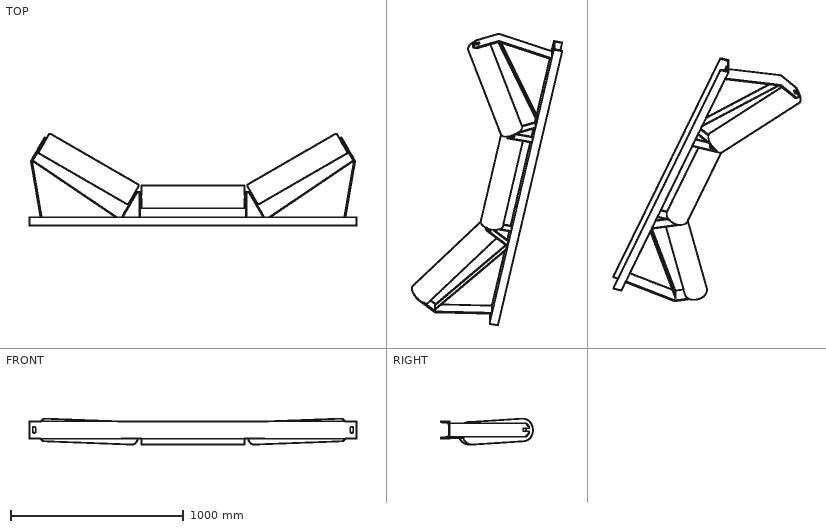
import cadquery as cq
import math


channel_length = 1900
channel_height = 100
flange_width = 50
web_thickness = 6
flange_thickness = 8.5
flange_taper = 0.08
root_radius = 8.5
toe_radius = 4.5
mount_slot_width = 18
mount_slot_length = 36
mount_slot_inset = 28

roller_diameter = 133
roller_length = 600
roller_edge_radius = 5
shaft_diameter = 20
shaft_flat_width = 17
trough_angle = 30
tilt_drop = 19.6
centre_axis_y = 117
wing_inner_x = 345.5
wing_inner_y = 129.03

outer_bracket_height = 80
inner_bracket_height = 60
brace_height = 50
inner_plate = 5
outer_plate = 8
end_gap = 6
bracket_reach = 30
tip_chamfer = 20
outer_bend_radius = 8
outer_foot_x = 886
outer_corner_y = 324
brace_thickness = 3
brace_foot_x = 449
brace_head_y = 328

forward_tilt = math.degrees(math.asin(tilt_drop / roller_length))
cos_trough = math.cos(math.radians(trough_angle))
sin_trough = math.sin(math.radians(trough_angle))
inner_shaft_end = end_gap + inner_plate
outer_shaft_end = end_gap + outer_plate

outward = cq.Vector(cos_trough, sin_trough)
upward = cq.Vector(-sin_trough, cos_trough)
wing_inner = cq.Vector(wing_inner_x, wing_inner_y)
wing_outer = wing_inner + outward * roller_length * math.cos(math.radians(forward_tilt))


def xy(point):
    return (point.x, point.y)


def edge_at(body, middle):
    """The edge whose middle lies nearest to the given point."""
    return body.edges(cq.selectors.NearestToPointSelector(middle))


def make_channel():
    half = channel_height / 2
    tip_thickness = flange_thickness - flange_taper * flange_width / 2
    root_thickness = flange_thickness + flange_taper * (flange_width / 2 - web_thickness)
    profile = [
        (0, -half),
        (-flange_width, -half),
        (-flange_width, -half + tip_thickness),
        (-web_thickness, -half + root_thickness),
        (-web_thickness, half - root_thickness),
        (-flange_width, half - tip_thickness),
        (-flange_width, half),
        (0, half),
    ]
    body = cq.Workplane("YZ").polyline(profile).close().extrude(channel_length / 2, both=True)
    for side in (-1, 1):
        root = (0, -web_thickness, side * (half - root_thickness))
        toe = (0, -flange_width, side * (half - tip_thickness))
        body = edge_at(body, root).fillet(root_radius)
        body = edge_at(body, toe).fillet(toe_radius)
    slot_x = channel_length / 2 - mount_slot_inset
    slots = (
        cq.Workplane("XZ")
        .pushPoints([(-slot_x, 0), (slot_x, 0)])
        .slot2D(mount_slot_length, mount_slot_width, 90)
        .extrude(web_thickness)
    )
    return body.cut(slots)


def shaft_section(start, length):
    flats = cq.Workplane("XY").box(length, shaft_diameter, shaft_flat_width, centered=(False, True, True))
    rod = cq.Workplane("YZ").circle(shaft_diameter / 2).extrude(length)
    return rod.intersect(flats).translate((start, 0, 0))


def make_roller(inner_end, outer_end):
    shell = cq.Workplane("YZ").circle(roller_diameter / 2).extrude(roller_length)
    shell = shell.edges().fillet(roller_edge_radius)
    return shell.union(shaft_section(-inner_end, roller_length + inner_end + outer_end))


def shaft_slot():
    """Cutter for the open-topped slots that seat the shaft, along the whole roller axis."""
    margin = 3 * outer_shaft_end
    length = roller_length + 2 * margin
    depth = 2 * bracket_reach
    opening = cq.Workplane("XY").box(length, depth, shaft_flat_width, centered=(False, False, True))
    return shaft_section(-margin, length).union(opening.translate((-margin, 0, 0)))


def place_wing(body):
    body = body.rotate((0, 0, 0), (0, 1, 0), -forward_tilt)
    body = body.rotate((0, 0, 0), (0, 0, 1), trough_angle)
    return body.translate((wing_inner_x, wing_inner_y, -tilt_drop))


def place_centre(body):
    return body.translate((-roller_length / 2, centre_axis_y, -tilt_drop))


def plate(outline, height):
    """Vertical plate with the given XY outline, centred on Z = 0."""
    return cq.Workplane("XY").polyline([xy(p) for p in outline]).close().extrude(height / 2, both=True)


def on_line(point, direction, y):
    """Point with the given Y on the line through a point along a direction, in the XY plane."""
    return point + direction * ((y - point.y) / direction.y)


def make_inner_bracket():
    leg_in = roller_length / 2 + end_gap
    leg_out = leg_in + inner_plate
    top = centre_axis_y + bracket_reach
    near = wing_inner - outward * end_gap
    far = near - outward * inner_plate
    outline = [
        cq.Vector(leg_in, 0),
        cq.Vector(leg_in, top),
        on_line(near, upward, top),
        on_line(near, upward, 0),
        on_line(far, upward, 0),
        on_line(far, upward, top - inner_plate),
        cq.Vector(leg_out, top - inner_plate),
        cq.Vector(leg_out, 0),
    ]
    body = plate(outline, inner_bracket_height).translate((0, 0, -tilt_drop))
    return body.cut(place_centre(shaft_slot())).cut(place_wing(shaft_slot()))


outer_face = wing_outer + outward * outer_shaft_end
outer_corner = on_line(outer_face, upward, outer_corner_y)
outer_foot = cq.Vector(outer_foot_x, 0)
leg_direction = (outer_corner - outer_foot).normalized()
bend_angle = upward.getAngle(leg_direction)
corner_offset = outer_plate * math.tan(bend_angle / 2)
inner_corner = outer_corner - outward * outer_plate + upward * corner_offset


def make_outer_bracket():
    tip = outer_face + upward * bracket_reach
    outline = [
        outer_foot,
        outer_corner,
        tip,
        tip - outward * outer_plate,
        inner_corner,
        on_line(inner_corner, leg_direction, 0),
    ]
    body = plate(outline, outer_bracket_height)
    for corner, radius in ((inner_corner, outer_bend_radius), (outer_corner, outer_bend_radius + outer_plate)):
        body = edge_at(body, corner.toTuple()).fillet(radius)
    for side in (-1, 1):
        corner = tip - outward * outer_plate / 2 + cq.Vector(0, 0, side * outer_bracket_height / 2)
        body = edge_at(body, corner.toTuple()).chamfer(tip_chamfer)
    return body.cut(place_wing(shaft_slot()))


def make_brace(bracket):
    head = on_line(outer_face - outward * outer_plate / 2, upward, brace_head_y)
    foot_point = cq.Vector(brace_foot_x, 0)
    along = (head - foot_point).normalized()
    across = cq.Vector(-along.y, along.x) * brace_thickness
    outline = [foot_point, head, head + across, on_line(foot_point + across, along, 0)]
    return plate(outline, brace_height).cut(bracket)


channel = make_channel()
centre_roller = place_centre(make_roller(inner_shaft_end, inner_shaft_end))
wing_roller = place_wing(make_roller(inner_shaft_end, outer_shaft_end))
inner_bracket = make_inner_bracket()
outer_bracket = make_outer_bracket()
brace = make_brace(outer_bracket)

bodies = [channel, centre_roller]
for right_hand in (wing_roller, inner_bracket, outer_bracket, brace):
    bodies.append(right_hand)
    bodies.append(right_hand.mirror("YZ"))

result = cq.Compound.makeCompound([body.solids().val() for body in bodies])